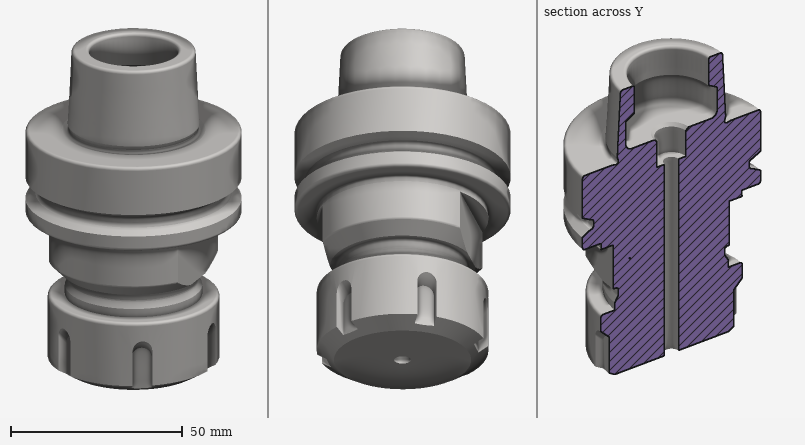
import cadquery as cq
import math


total_height = 98.4
shank_base_r = 19.2
shank_base_z = 75.5
shank_taper = 0.05
neck_r = 37.7 / 2
neck_top_z = 74.3
neck_fillet = 0.7
edge_round = 1.0

flange_r = 31.5
flange_top_z = 73.5
flange_bottom_z = 47.5
dish_rim_r = 41.8 / 2
dish_floor_r = 19.6
dish_depth = 0.3
groove_r = 55.0 / 2
groove_top_z = 58.8
groove_bottom_z = 52.2
groove_slope = math.radians(30)
groove_root_round = 1.1

collar_r = 24.8
body_r = 25.0
body_top_z = 45.8
body_chamfer_z = 33.85
body_bottom_z = 30.0
body_edge_round = 0.8
collar_fillet = 0.5
flats_width = 41.0
flats_top_z = 45.4

stem_r = 37.7 / 2
stem_bottom_z = 27.3
stem_shoulder_r = 40.0 / 2
stem_shoulder_z = 25.2
stem_fillet = 0.8

nut_r = 25.0
nut_height = 22.6
nut_face_r = 20.0
nut_chamfer_height = 3.05

slot_count = 6
slot_width = 5.8
slot_floor_r = 22.0
slot_floor_top_z = 13.9
slot_run_out = math.radians(46)

bore_r = 26.0 / 2
bore_edge_z = 88.6
undercut_r = 32.0 / 2
undercut_slope = math.radians(30)
bore_floor_z = 76.8
bore_floor_fillet = 2.0
socket_r = 10.0 / 2
socket_chamfer = 1.0
socket_depth = 9.8
through_r = 4.9 / 2


def revolve_profile(points):
    """Turn (radius, height) points into a solid about Z."""
    return cq.Workplane("XZ").polyline(points).close().revolve(360, (0, 0), (0, 1))


def round_rim(solid, radius, height, rounding):
    """Round the circular edge with the given radius and height."""
    tolerance = 0.001

    def is_rim(edge):
        return (
            edge.geomType() == "CIRCLE"
            and abs(edge.radius() - radius) < tolerance
            and abs(edge.Center().z - height) < tolerance
        )

    rims = [edge for edge in solid.edges().vals() if is_rim(edge)]
    return solid.newObject(rims).fillet(rounding)


def make_flange_groove():
    """Sloped sides that end in rounded corners at the groove floor."""
    side_end_r = groove_r + groove_root_round
    side_rise = (flange_r - side_end_r) * math.tan(groove_slope)
    lower_z = groove_bottom_z + side_rise
    upper_z = groove_top_z - side_rise
    return (
        cq.Workplane("XZ")
        .moveTo(flange_r, groove_bottom_z)
        .lineTo(side_end_r, lower_z)
        .radiusArc((groove_r, lower_z + groove_root_round), groove_root_round)
        .lineTo(groove_r, upper_z - groove_root_round)
        .radiusArc((side_end_r, upper_z), groove_root_round)
        .lineTo(flange_r, groove_top_z)
        .close()
        .revolve(360, (0, 0), (0, 1))
    )


def make_shank_and_flange():
    top_r = shank_base_r - shank_taper * (total_height - shank_base_z)
    dish_z = flange_top_z - dish_depth
    solid = revolve_profile([
        (0, total_height),
        (top_r, total_height),
        (shank_base_r, shank_base_z),
        (neck_r, neck_top_z),
        (neck_r, dish_z),
        (dish_floor_r, dish_z),
        (dish_rim_r, flange_top_z),
        (flange_r, flange_top_z),
        (flange_r, flange_bottom_z),
        (0, flange_bottom_z),
    ])
    solid = round_rim(solid, top_r, total_height, edge_round)
    solid = round_rim(solid, flange_r, flange_top_z, edge_round)
    solid = round_rim(solid, flange_r, flange_bottom_z, edge_round)
    solid = solid.cut(make_flange_groove())
    return round_rim(solid, neck_r, dish_z, neck_fillet)


def make_body():
    chamfer = body_chamfer_z - body_bottom_z
    body = revolve_profile([
        (0, body_top_z),
        (body_r, body_top_z),
        (body_r, body_chamfer_z),
        (body_r - chamfer, body_bottom_z),
        (0, body_bottom_z),
    ])
    body = round_rim(body, body_r, body_chamfer_z, body_edge_round)
    flat_depth = body_r - flats_width / 2
    for side in (-1, 1):
        cutter = cq.Workplane("XY", origin=(side * (flats_width + flat_depth) / 2, 0, 0))
        body = body.cut(cutter.rect(flat_depth, 2 * body_r).extrude(flats_top_z))
    return body


def make_stem():
    return revolve_profile([
        (0, flange_bottom_z),
        (collar_r, flange_bottom_z),
        (collar_r, body_top_z),
        (stem_r, body_top_z),
        (stem_r, stem_bottom_z),
        (stem_shoulder_r, stem_shoulder_z),
        (stem_shoulder_r, nut_height),
        (0, nut_height),
    ])


def make_slot_cutter():
    """Round-topped outline swept outward and upward from the slot floor."""
    half = slot_width / 2
    reach = 2 * (nut_r - slot_floor_r)
    rise = reach * math.tan(slot_run_out)
    foot_z = -2 * rise
    outline = (
        cq.Workplane("YZ", origin=(slot_floor_r, 0, 0))
        .moveTo(-half, foot_z)
        .lineTo(-half, slot_floor_top_z - half)
        .threePointArc((0, slot_floor_top_z), (half, slot_floor_top_z - half))
        .lineTo(half, foot_z)
        .close()
    )
    return cq.Solid.extrudeLinear(outline.val(), [], cq.Vector(reach, 0, rise))


def make_nut():
    nut = revolve_profile([
        (0, nut_height),
        (nut_r, nut_height),
        (nut_r, nut_chamfer_height),
        (nut_face_r, 0),
        (0, 0),
    ])
    nut = round_rim(nut, nut_r, nut_height, edge_round)
    cutter = make_slot_cutter()
    for index in range(slot_count):
        angle = index * 360 / slot_count
        nut = nut.cut(cq.Workplane(cutter.rotate(cq.Vector(), cq.Vector(0, 0, 1), angle)))
    return nut


def make_bore():
    undercut_drop = (undercut_r - bore_r) * math.tan(undercut_slope)
    socket_z = bore_floor_z - socket_depth
    bore = revolve_profile([
        (0, total_height),
        (bore_r, total_height),
        (bore_r, bore_edge_z),
        (undercut_r, bore_edge_z - undercut_drop),
        (undercut_r, bore_floor_z),
        (socket_r + socket_chamfer, bore_floor_z),
        (socket_r, bore_floor_z - socket_chamfer),
        (socket_r, socket_z),
        (through_r, socket_z),
        (through_r, 0),
        (0, 0),
    ])
    return round_rim(bore, undercut_r, bore_floor_z, bore_floor_fillet)


outside = make_shank_and_flange().union(make_stem()).union(make_body()).union(make_nut())
outside = round_rim(outside, collar_r, flange_bottom_z, collar_fillet)
outside = round_rim(outside, stem_r, body_bottom_z, stem_fillet)
outside = round_rim(outside, stem_r, stem_bottom_z, stem_fillet)
result = round_rim(outside.cut(make_bore()), bore_r, total_height, edge_round)